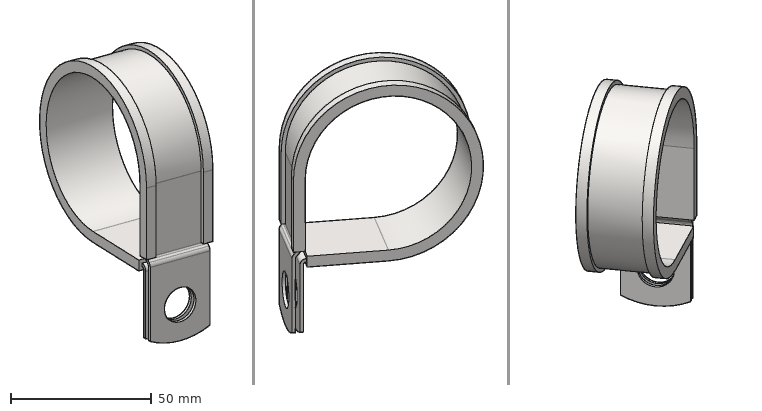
import cadquery as cq
import math

overall_height = 97.9
outer_radius = 34.5
cushion_thickness = 4.3
cushion_width = 28.5
flange_width = 4.1
groove_depth = 1.5
side_leg_end_z = -28.2
bottom_leg_end_x = 29.5

strap_thickness = 1.3
strap_width = 25.65
strap_radius = outer_radius - groove_depth
strap_inner_radius = strap_radius - strap_thickness

tab_end_z = outer_radius - overall_height
inner_tab_face_x = 31.8
outer_tab_face_x = 34.8
bend_inner_radius = 1.1
jog_angle = math.radians(45)
tab_end_sag = 2.9
hole_diameter = 13.4
hole_height = 14.2


def extrude_centred(profile, width):
    """Extrude an XZ profile symmetrically about Y = 0."""
    return profile.extrude(width / 2, both=True)


def loop_band(outer, inner, width):
    """Three-quarter ring with straight legs running down and towards +X."""
    diagonal = math.sqrt(0.5)
    profile = (
        cq.Workplane("XZ")
        .moveTo(outer, side_leg_end_z)
        .lineTo(outer, 0)
        .threePointArc((-outer * diagonal, outer * diagonal), (0, -outer))
        .lineTo(bottom_leg_end_x, -outer)
        .lineTo(bottom_leg_end_x, -inner)
        .lineTo(0, -inner)
        .threePointArc((-inner * diagonal, inner * diagonal), (inner, 0))
        .lineTo(inner, side_leg_end_z)
        .close()
    )
    return extrude_centred(profile, width)


def make_cushion():
    inner = outer_radius - cushion_thickness
    core = loop_band(strap_radius, inner, cushion_width)
    flange_offset = (cushion_width - flange_width) / 2
    for side in (-1, 1):
        flange = loop_band(outer_radius, inner, flange_width)
        core = core.union(flange.translate((0, side * flange_offset, 0)))
    return core


def make_inner_tab():
    """Continues the bottom leg, then bends down through 90 degrees."""
    bend_outer_radius = bend_inner_radius + strap_thickness
    bend_x = inner_tab_face_x - bend_outer_radius
    bend_z = -strap_inner_radius - bend_outer_radius
    back_x = inner_tab_face_x - strap_thickness
    diagonal = math.sqrt(0.5)
    outer_mid = (bend_x + bend_outer_radius * diagonal, bend_z + bend_outer_radius * diagonal)
    inner_mid = (bend_x + bend_inner_radius * diagonal, bend_z + bend_inner_radius * diagonal)
    embedded_x = bottom_leg_end_x - strap_thickness
    profile = (
        cq.Workplane("XZ")
        .moveTo(embedded_x, -strap_inner_radius)
        .lineTo(bend_x, -strap_inner_radius)
        .threePointArc(outer_mid, (inner_tab_face_x, bend_z))
        .lineTo(inner_tab_face_x, tab_end_z)
        .lineTo(back_x, tab_end_z)
        .lineTo(back_x, bend_z)
        .threePointArc(inner_mid, (bend_x, -strap_radius))
        .lineTo(embedded_x, -strap_radius)
        .close()
    )
    return extrude_centred(profile, strap_width)


def make_outer_tab():
    """Continues the side leg and jogs outwards through two opposite bends."""
    bend_outer_radius = bend_inner_radius + strap_thickness
    back_x = outer_tab_face_x - strap_thickness
    embedded_z = side_leg_end_z + strap_thickness
    slope_run = (outer_tab_face_x - strap_radius
                 - (bend_inner_radius + bend_outer_radius) * (1 - math.cos(jog_angle)))
    slope_drop = slope_run / math.tan(jog_angle)
    upper_centre = (strap_radius + bend_inner_radius, side_leg_end_z)
    lower_centre = (
        outer_tab_face_x - bend_outer_radius,
        side_leg_end_z - slope_drop - (bend_inner_radius + bend_outer_radius) * math.sin(jog_angle),
    )

    def upper_point(radius, angle):
        return (upper_centre[0] - radius * math.cos(angle), upper_centre[1] - radius * math.sin(angle))

    def lower_point(radius, angle):
        return (lower_centre[0] + radius * math.cos(angle), lower_centre[1] + radius * math.sin(angle))

    half_angle = jog_angle / 2
    profile = (
        cq.Workplane("XZ")
        .moveTo(strap_radius, embedded_z)
        .lineTo(*upper_point(bend_inner_radius, 0))
        .threePointArc(upper_point(bend_inner_radius, half_angle), upper_point(bend_inner_radius, jog_angle))
        .lineTo(*lower_point(bend_outer_radius, jog_angle))
        .threePointArc(lower_point(bend_outer_radius, half_angle), lower_point(bend_outer_radius, 0))
        .lineTo(outer_tab_face_x, tab_end_z)
        .lineTo(back_x, tab_end_z)
        .lineTo(*lower_point(bend_inner_radius, 0))
        .threePointArc(lower_point(bend_inner_radius, half_angle), lower_point(bend_inner_radius, jog_angle))
        .lineTo(*upper_point(bend_outer_radius, jog_angle))
        .threePointArc(upper_point(bend_outer_radius, half_angle), upper_point(bend_outer_radius, 0))
        .lineTo(strap_inner_radius, embedded_z)
        .close()
    )
    return extrude_centred(profile, strap_width)


def tab_outline():
    """Face shape shared by both tabs: arched lower end and a bolt hole."""
    half_width = strap_width / 2
    corner_z = tab_end_z + tab_end_sag
    return (
        cq.Workplane("YZ")
        .moveTo(-half_width, 0)
        .lineTo(-half_width, corner_z)
        .threePointArc((0, tab_end_z), (half_width, corner_z))
        .lineTo(half_width, 0)
        .close()
        .moveTo(0, tab_end_z + hole_height)
        .circle(hole_diameter / 2)
        .extrude(outer_tab_face_x)
    )


tabs = make_inner_tab().union(make_outer_tab()).intersect(tab_outline())
result = make_cushion().union(tabs)